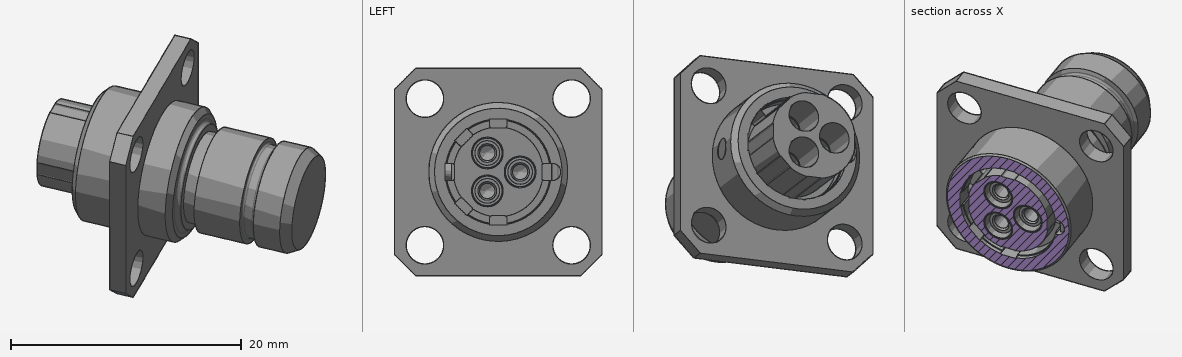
import cadquery as cq
import math

PLUG_FACE = 0.0
SHELL_FRONT = 3.89
FLANGE_FRONT = 8.65
FLANGE_THICKNESS = 1.5
SHELL_REAR = 13.18
COLLAR_END = 13.65
BODY_START = 14.85
GROOVE_START = 19.08
GROOVE_END = 20.33
REAR_END = 23.7

SHELL_RADIUS = 6.02
SHELL_CHAMFER = 0.5
BODY_RADIUS = 4.72
COLLAR_FILLET = 0.38
NECK_RADIUS = 4.08
GROOVE_RADIUS = 4.17
GROOVE_FILLET = 0.2
GROOVE_REAR_TAPER = 0.12
REAR_CHAMFER_LENGTH = 0.92
REAR_CHAMFER_DEPTH = 0.52

FLANGE_SIDE = 18.0
FLANGE_CORNER_CUT = 1.85
MOUNT_HOLE_RADIUS = 1.6
MOUNT_HOLE_OFFSET = 6.35

BORE_MOUTH_RADIUS = 4.6
BORE_MOUTH_DEPTH = 0.7
BORE_RADIUS = 4.5
BORE_DEPTH = 1.9
PLUG_RADIUS = 3.89

KEYWAY_ANGLES = (0, 45, 90, 180, 270, 315)
KEYWAY_WIDTH = 1.5
KEYWAY_FLOOR = 3.8
KEYWAY_FILLET = 0.2
KEYWAY_END = FLANGE_FRONT

PIN_X = 6.5
PIN_RADIUS = KEYWAY_WIDTH / 2
PIN_TIP = 4.05
PIN_SEAT_RADIUS = 0.92
PIN_SEAT_DEPTH = 0.07
NOTCH_RADIUS = KEYWAY_WIDTH / 2
NOTCH_OFFSET = 4.67
NOTCH_DEPTH = 0.69
NOTCH_ROLL_RADIUS = 0.52

CONTACT_COUNT = 3
CONTACT_CIRCLE_RADIUS = 1.9
CAVITY_RADIUS = 1.37
CAVITY_STEP_RADIUS = 1.28
CAVITY_STEP_DEPTH = 4.27
CAVITY_DEPTH = 6.16
CONTACT_FACE = 4.75
CONTACT_RADIUS = 1.07
CONTACT_BORE_RADIUS = 0.66
CONTACT_BORE_CHAMFER = 0.15
CONTACT_CONE_START = 6.64
CONTACT_CONE_LENGTH = 0.38


def disc(start, end, radius, y=0.0, z=0.0):
    """Cylinder along X."""
    return cq.Workplane("YZ", origin=(start, y, z)).circle(radius).extrude(end - start)


def radial_pin(x, inner, outer, radius):
    """Cylinder along +Y."""
    return cq.Workplane("XZ", origin=(x, inner, 0)).circle(radius).extrude(inner - outer)


def make_shell():
    collar_fillet_end = SHELL_REAR + COLLAR_FILLET
    profile = (
        cq.Workplane("XY")
        .moveTo(SHELL_FRONT, 0)
        .lineTo(SHELL_FRONT, SHELL_RADIUS - SHELL_CHAMFER)
        .lineTo(SHELL_FRONT + SHELL_CHAMFER, SHELL_RADIUS)
        .lineTo(SHELL_REAR - SHELL_CHAMFER, SHELL_RADIUS)
        .lineTo(SHELL_REAR, SHELL_RADIUS - SHELL_CHAMFER)
        .lineTo(SHELL_REAR, BODY_RADIUS + COLLAR_FILLET)
        .radiusArc((collar_fillet_end, BODY_RADIUS), -COLLAR_FILLET)
        .lineTo(COLLAR_END, BODY_RADIUS)
        .lineTo(COLLAR_END, NECK_RADIUS)
        .lineTo(BODY_START, NECK_RADIUS)
        .lineTo(BODY_START, BODY_RADIUS)
        .lineTo(GROOVE_START, BODY_RADIUS)
        .lineTo(GROOVE_START, GROOVE_RADIUS + GROOVE_FILLET)
        .radiusArc((GROOVE_START + GROOVE_FILLET, GROOVE_RADIUS), -GROOVE_FILLET)
        .lineTo(GROOVE_END - GROOVE_REAR_TAPER - GROOVE_FILLET, GROOVE_RADIUS)
        .radiusArc((GROOVE_END - GROOVE_REAR_TAPER, GROOVE_RADIUS + GROOVE_FILLET), -GROOVE_FILLET)
        .lineTo(GROOVE_END, BODY_RADIUS)
        .lineTo(REAR_END - REAR_CHAMFER_LENGTH, BODY_RADIUS)
        .lineTo(REAR_END, BODY_RADIUS - REAR_CHAMFER_DEPTH)
        .lineTo(REAR_END, 0)
        .close()
    )
    return profile.revolve(360, (0, 0, 0), (1, 0, 0))


def make_flange():
    plate = (
        cq.Workplane("YZ", origin=(FLANGE_FRONT, 0, 0))
        .rect(FLANGE_SIDE, FLANGE_SIDE)
        .extrude(FLANGE_THICKNESS)
        .edges("|X")
        .chamfer(FLANGE_CORNER_CUT)
    )
    hole_spacing = 2 * MOUNT_HOLE_OFFSET
    holes = (
        cq.Workplane("YZ", origin=(FLANGE_FRONT, 0, 0))
        .rect(hole_spacing, hole_spacing, forConstruction=True)
        .vertices()
        .circle(MOUNT_HOLE_RADIUS)
        .extrude(FLANGE_THICKNESS)
    )
    return plate.cut(holes)


def make_keyway(angle):
    """Slot cutter with rounded floor corners, reaching out to the bore mouth radius."""
    height = BORE_MOUTH_RADIUS - KEYWAY_FLOOR
    cutter = (
        cq.Workplane("YZ", origin=(PLUG_FACE, KEYWAY_FLOOR + height / 2, 0))
        .rect(height, KEYWAY_WIDTH)
        .extrude(KEYWAY_END - PLUG_FACE)
        .edges("|X and <Y")
        .fillet(KEYWAY_FILLET)
    )
    return cutter.rotate((0, 0, 0), (1, 0, 0), angle)


def make_notch():
    """Half-round notch cutter whose floor rolls over convexly into the bore."""
    floor = SHELL_FRONT + NOTCH_DEPTH
    bottom = floor + NOTCH_ROLL_RADIUS
    centre_y = -NOTCH_OFFSET
    side_profile = (
        cq.Workplane("XY", origin=(0, 0, -NOTCH_RADIUS))
        .moveTo(SHELL_FRONT, centre_y - NOTCH_RADIUS)
        .lineTo(floor, centre_y - NOTCH_RADIUS)
        .lineTo(floor, centre_y - NOTCH_ROLL_RADIUS)
        .radiusArc((bottom, centre_y), NOTCH_ROLL_RADIUS)
        .lineTo(bottom, centre_y + NOTCH_RADIUS)
        .lineTo(SHELL_FRONT, centre_y + NOTCH_RADIUS)
        .close()
        .extrude(2 * NOTCH_RADIUS)
    )
    return side_profile.intersect(disc(SHELL_FRONT, bottom, NOTCH_RADIUS, y=centre_y))


def make_cavity(y, z):
    """Stepped cavity around a contact, together with the contact's own bore."""
    front = disc(PLUG_FACE, CAVITY_STEP_DEPTH, CAVITY_RADIUS, y, z)
    rear = disc(CAVITY_STEP_DEPTH, CAVITY_DEPTH, CAVITY_STEP_RADIUS, y, z)
    contact = disc(CONTACT_FACE, CAVITY_DEPTH, CONTACT_RADIUS, y, z)
    bore = (
        cq.Workplane("XY")
        .moveTo(CONTACT_FACE, 0)
        .lineTo(CONTACT_FACE, CONTACT_BORE_RADIUS + CONTACT_BORE_CHAMFER)
        .lineTo(CONTACT_FACE + CONTACT_BORE_CHAMFER, CONTACT_BORE_RADIUS)
        .lineTo(CONTACT_CONE_START, CONTACT_BORE_RADIUS)
        .lineTo(CONTACT_CONE_START + CONTACT_CONE_LENGTH, 0)
        .close()
        .revolve(360, (0, 0, 0), (1, 0, 0))
        .translate((0, y, z))
    )
    return front.union(rear).cut(contact).union(bore)


shell = make_shell().union(make_flange())
bore_floor = SHELL_FRONT + BORE_DEPTH
shell = shell.cut(disc(SHELL_FRONT, SHELL_FRONT + BORE_MOUTH_DEPTH, BORE_MOUTH_RADIUS))
shell = shell.cut(disc(SHELL_FRONT, bore_floor, BORE_RADIUS))
shell = shell.cut(make_notch())

result = shell.union(disc(PLUG_FACE, bore_floor, PLUG_RADIUS))

for keyway_angle in KEYWAY_ANGLES:
    result = result.cut(make_keyway(keyway_angle))

for index in range(CONTACT_COUNT):
    direction = math.pi + index * 2 * math.pi / CONTACT_COUNT
    contact_y = CONTACT_CIRCLE_RADIUS * math.cos(direction)
    contact_z = CONTACT_CIRCLE_RADIUS * math.sin(direction)
    result = result.cut(make_cavity(contact_y, contact_z))

pin_head = SHELL_RADIUS - PIN_SEAT_DEPTH
result = result.union(radial_pin(PIN_X, PIN_TIP, pin_head, PIN_RADIUS))
result = result.cut(radial_pin(PIN_X, pin_head, SHELL_RADIUS, PIN_SEAT_RADIUS))